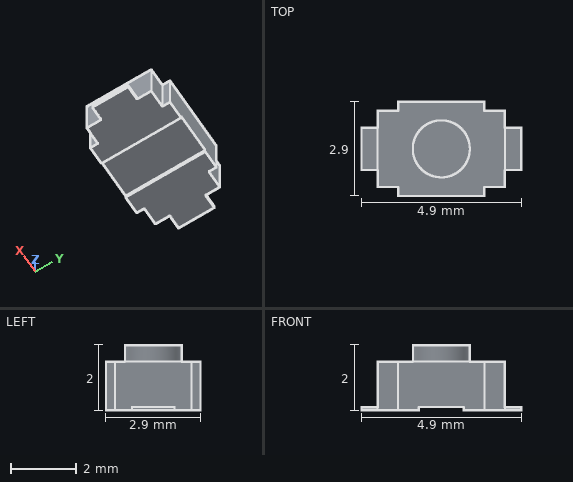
import cadquery as cq

overall_length = 4.9
overall_height = 2.0

body_length = 3.9
body_width = 2.9
body_height = 1.5
long_block_width = 2.345
wide_block_length = 2.64

button_diameter = 1.75
button_height = overall_height - body_height

terminal_width = 1.305
terminal_thickness = 0.105

channel_length = 1.37
channel_depth = terminal_thickness


def centred_block(length, width, height):
    """Block centred on X and Y, standing on Z = 0."""
    return cq.Workplane("XY").box(length, width, height, centered=(True, True, False))


long_block = centred_block(body_length, long_block_width, body_height)
wide_block = centred_block(wide_block_length, body_width, body_height)
housing = long_block.union(wide_block)

button = cq.Workplane("XY").workplane(offset=body_height).circle(button_diameter / 2).extrude(button_height)

terminals = centred_block(overall_length, terminal_width, terminal_thickness)
channel = centred_block(channel_length, body_width, channel_depth)

result = housing.union(button).union(terminals).cut(channel)